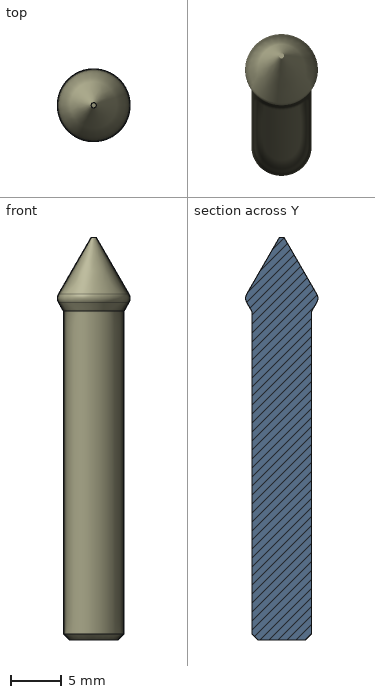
import cadquery as cq
import math

length = 40.0
shaft_radius = 3.0
end_chamfer = 0.6
rim_diameter = 7.25
rim_height = 33.95
rim_round = 0.8
cone_angle = math.radians(30)

rim_radius = rim_diameter / 2

tangent_radius = rim_radius - rim_round * (1 - math.cos(cone_angle))
tangent_offset = rim_round * math.sin(cone_angle)
upper_tangent = rim_height + tangent_offset
lower_tangent = rim_height - tangent_offset

tip_radius = tangent_radius - (length - upper_tangent) * math.tan(cone_angle)
shoulder_height = lower_tangent - (tangent_radius - shaft_radius) / math.tan(cone_angle)

profile = (
    cq.Workplane("XZ")
    .lineTo(shaft_radius - end_chamfer, 0)
    .lineTo(shaft_radius, end_chamfer)
    .lineTo(shaft_radius, shoulder_height)
    .lineTo(tangent_radius, lower_tangent)
    .threePointArc((rim_radius, rim_height), (tangent_radius, upper_tangent))
    .lineTo(tip_radius, length)
    .lineTo(0, length)
    .close()
)

result = profile.revolve()